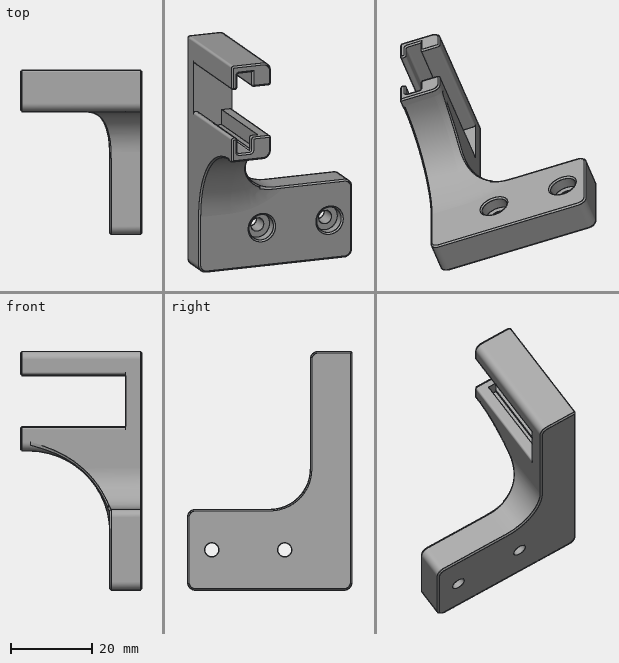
import cadquery as cq
import math

LENGTH_X = 30.0
LENGTH_Y = 40.65
HEIGHT = 59.0

BAR_DEPTH = 10.3
FOOT_HEIGHT = 20.0
NECK_RADIUS = 10.0
CORNER_RADIUS = 2.0
EDGE_RADIUS = 0.6
EDGE_CHAMFER = 0.4

PLATE_THICKNESS = 7.95
PLATE_X = LENGTH_X - PLATE_THICKNESS
ARM_BOTTOM = 34.4
FLARE_RADIUS = 20.0
FLARE_START_X = PLATE_X - FLARE_RADIUS
FLARE_AXIS_Y = -BAR_DEPTH + CORNER_RADIUS
FLARE_AXIS_Z = ARM_BOTTOM + CORNER_RADIUS

CHAMFER_START_X = 2.5
NECK_SPLIT_Y = -15.95

BACK_WALL = 4.0
SLOT_LENGTH = LENGTH_X - BACK_WALL
SLOT_CENTRE_Z = 46.7
LIP_GAP = 12.45
POST_GAP = 13.0
GROOVE_GAP = 20.65
LIP_THICKNESS = 1.4
GROOVE_FRONT = 5.35
RECESS_FRONT = 7.55
STUB_LENGTH = 1.95

HOLE_DIAMETER = 3.4
COUNTERBORE_DIAMETER = 6.5
COUNTERBORE_DEPTH = 3.0
HOLE_Z = FOOT_HEIGHT / 2
HOLE_SPACING = 18.0
FIRST_HOLE_Y = -16.65


def round_long_edge(body, x, y, z, radius):
    """Fillet the edge along X whose middle is nearest to the given point."""
    nearest = cq.selectors.NearestToPointSelector((x, y, z))
    return body.edges("|X").edges(nearest).fillet(radius)


def outline_body():
    """L-shaped side outline, extruded along X and rounded at its corners."""
    body = (
        cq.Workplane("YZ")
        .moveTo(0, 0)
        .lineTo(-LENGTH_Y, 0)
        .lineTo(-LENGTH_Y, FOOT_HEIGHT)
        .lineTo(-BAR_DEPTH - NECK_RADIUS, FOOT_HEIGHT)
        .radiusArc((-BAR_DEPTH, FOOT_HEIGHT + NECK_RADIUS), -NECK_RADIUS)
        .lineTo(-BAR_DEPTH, HEIGHT)
        .lineTo(0, HEIGHT)
        .close()
        .extrude(LENGTH_X)
    )
    for y, z, radius in [
        (0, 0, CORNER_RADIUS),
        (-LENGTH_Y, 0, CORNER_RADIUS),
        (-LENGTH_Y, FOOT_HEIGHT, CORNER_RADIUS),
        (-BAR_DEPTH, HEIGHT, CORNER_RADIUS),
        (0, HEIGHT, EDGE_RADIUS),
    ]:
        body = round_long_edge(body, LENGTH_X / 2, y, z, radius)
    return body


def flare_profile():
    """Half section of the flare in XZ: its top edge lies on the flare axis."""
    arc_mid_x = FLARE_START_X + FLARE_RADIUS * math.sin(math.pi / 4)
    arc_mid_z = ARM_BOTTOM - FLARE_RADIUS * (1 - math.cos(math.pi / 4))
    return (
        cq.Workplane("XZ", origin=(0, FLARE_AXIS_Y, 0))
        .moveTo(0, FLARE_AXIS_Z)
        .lineTo(0, ARM_BOTTOM)
        .lineTo(FLARE_START_X, ARM_BOTTOM)
        .threePointArc((arc_mid_x, arc_mid_z), (PLATE_X, ARM_BOTTOM - FLARE_RADIUS))
        .lineTo(PLATE_X, FLARE_AXIS_Z)
        .close()
    )


def arm_envelope():
    """Plate, upper block and flare, all to be trimmed by the side outline."""
    plate = cq.Workplane("XY").box(PLATE_THICKNESS, LENGTH_Y, HEIGHT, centered=False)
    plate = plate.translate((PLATE_X, -LENGTH_Y, 0))
    upper_block = cq.Workplane("XY").box(LENGTH_X, BAR_DEPTH, HEIGHT - FLARE_AXIS_Z, centered=False)
    upper_block = upper_block.translate((0, -BAR_DEPTH, FLARE_AXIS_Z))
    straight_flare = flare_profile().extrude(FLARE_AXIS_Y)
    round_flare = flare_profile().revolve(360, (0, FLARE_AXIS_Z, 0), (1, FLARE_AXIS_Z, 0))
    return plate.union(upper_block).union(straight_flare).union(round_flare)


def slot():
    """Cutter for the open slot and both grooves."""

    def gap_box(y_front, y_back, gap):
        box = cq.Workplane("XY").box(SLOT_LENGTH, y_back - y_front, gap)
        return box.translate((SLOT_LENGTH / 2, (y_front + y_back) / 2, SLOT_CENTRE_Z))

    cutter = gap_box(-BAR_DEPTH, 0, LIP_GAP)
    cutter = cutter.union(gap_box(-BAR_DEPTH, -GROOVE_FRONT, POST_GAP))
    return cutter.union(gap_box(-GROOVE_FRONT, -LIP_THICKNESS, GROOVE_GAP))


def round_slot_edges(body):
    """Fillet the lips, posts and groove floors; the upper groove keeps one sharp corner at its post."""
    for side in (1, -1):
        corners = [
            (0, LIP_GAP),
            (-LIP_THICKNESS, LIP_GAP),
            (-LIP_THICKNESS, GROOVE_GAP),
            (-GROOVE_FRONT, POST_GAP),
            (-BAR_DEPTH, POST_GAP),
        ]
        if side < 0:
            corners.append((-GROOVE_FRONT, GROOVE_GAP))
        for y, gap in corners:
            z = SLOT_CENTRE_Z + side * gap / 2
            body = round_long_edge(body, SLOT_LENGTH / 2, y, z, EDGE_RADIUS)
    return body


def chamfer_flare_and_plate(body):
    """Chamfer the left edges of plate and flare, one piece of the body at a time.

    The chamfer fades out where the flare becomes flush with the arm, so the arm tip is left as it is.
    """
    size = 2 * HEIGHT
    inner_half = cq.Workplane("XY").box(size, size, size).translate((0, NECK_SPLIT_Y + size / 2, 0))
    flared_half = cq.Workplane("XY").box(size, size, size).translate((CHAMFER_START_X + size / 2, 0, 0))
    tip = body.cut(flared_half)
    root = body.intersect(flared_half)
    inner = root.intersect(inner_half)
    outer = root.cut(inner_half)

    back_edge = cq.selectors.NearestToPointSelector((PLATE_X, 0, FOOT_HEIGHT / 2))
    front_edge = cq.selectors.NearestToPointSelector(
        (FLARE_START_X + FLARE_RADIUS / 3, -BAR_DEPTH, ARM_BOTTOM)
    )
    base_edge = cq.selectors.NearestToPointSelector((PLATE_X, (NECK_SPLIT_Y - LENGTH_Y) / 2, 0))
    for edge in (back_edge, front_edge):
        inner = inner.edges(edge).chamfer(EDGE_CHAMFER)
    outer = outer.edges(base_edge).chamfer(EDGE_CHAMFER)
    return inner.union(outer).union(tip).clean()


def post_recess():
    """Cutter that narrows the front post of the lower arm behind a short stub."""
    depth = RECESS_FRONT - GROOVE_FRONT
    length = SLOT_LENGTH - STUB_LENGTH
    box = cq.Workplane("XY").box(length, depth, GROOVE_GAP / 2, centered=False)
    return box.translate((STUB_LENGTH, -RECESS_FRONT, SLOT_CENTRE_Z - GROOVE_GAP / 2))


def screw_hole(y):
    """Cutter along X: through hole with a chamfered counterbore opening at the plate face."""
    face = cq.Workplane("YZ", origin=(PLATE_X, y, HOLE_Z))
    through = face.circle(HOLE_DIAMETER / 2).extrude(PLATE_THICKNESS)
    counterbore = face.circle(COUNTERBORE_DIAMETER / 2).extrude(COUNTERBORE_DEPTH)
    rim = face.circle(COUNTERBORE_DIAMETER / 2 + EDGE_CHAMFER).extrude(EDGE_CHAMFER, taper=45)
    return through.union(counterbore).union(rim)


result = outline_body().intersect(arm_envelope()).clean()
result = chamfer_flare_and_plate(result)
result = round_slot_edges(result.cut(slot()))
result = result.faces(">X").chamfer(EDGE_CHAMFER)
result = result.faces("<X").chamfer(EDGE_CHAMFER)
result = result.cut(post_recess())
for hole_y in (FIRST_HOLE_Y, FIRST_HOLE_Y - HOLE_SPACING):
    result = result.cut(screw_hole(hole_y))